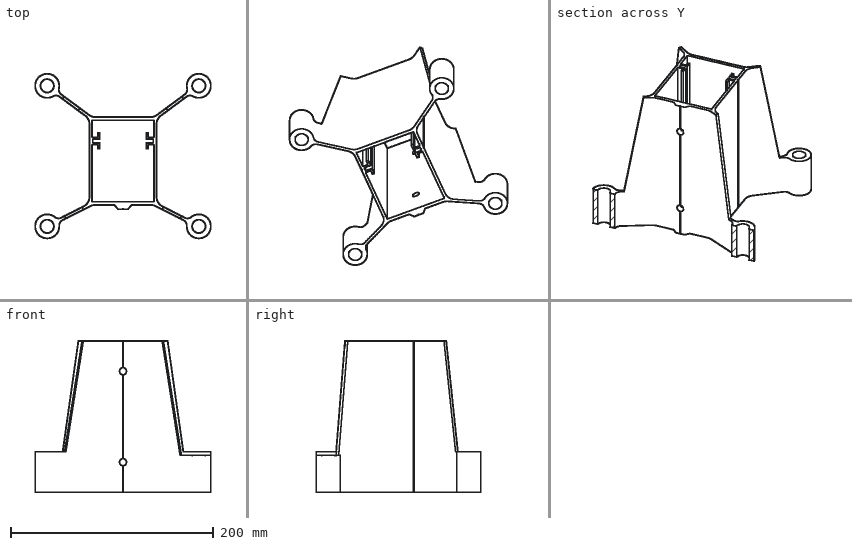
import cadquery as cq
import math


overall_x = 174.0
overall_y = 163.0
height = 150.0

boss_radius = 12.0
boss_bore = 13.0
boss_x = overall_x / 2 - boss_radius
boss_y = overall_y / 2 - boss_radius
boss_height = 40.4
low_boss_drop = 3.7

inner_x = 61.0
inner_y = 80.2
side_wall = 2.8
end_wall = 3.5
tube_x = inner_x + 2 * side_wall
tube_y = inner_y + 2 * end_wall
tube_center_y = -4.9
front_y = tube_center_y - tube_y / 2
rear_y = tube_center_y + tube_y / 2

rib_thickness = 3.0
root_fillet = 10.3
boss_fillet = 5.7
taper_start = 20.0
taper_angle = 10

rail_y = 15.0
slot_width = 3.7
rail_leg = 2.0
rail_depth = 7.7
flange_thickness = 2.1
flange_reach = 6.1
slot_floor = 0.7

strip_depth = 4.2
strip_base = 17.2
strip_face = 9.7
strip_fillet = 0.7
screw_hole = 7.0
screw_heights = (30.0, 119.9)

groove_width = 0.9
groove_depth = 0.5

corners = [(sx, sy) for sx in (-1, 1) for sy in (-1, 1)]


def boss_point(sx, sy):
    return sx * boss_x, sy * boss_y


def tube_corner(sx, sy):
    return sx * tube_x / 2, front_y if sy < 0 else rear_y


def rib_direction(sx, sy):
    """Unit vector from the boss axis to the tube corner, and the distance between them."""
    bx, by = boss_point(sx, sy)
    cx, cy = tube_corner(sx, sy)
    length = math.hypot(cx - bx, cy - by)
    return (cx - bx) / length, (cy - by) / length, length


def block(x0, x1, y0, y1):
    """Full-height block between two X and two Y positions."""
    return cq.Workplane("XY").box(x1 - x0, y1 - y0, height, centered=False).translate((x0, y0, 0))


def rib(sx, sy):
    bx, by = boss_point(sx, sy)
    ux, uy, length = rib_direction(sx, sy)
    length += rib_thickness
    plane = cq.Plane(origin=(bx, by, 0), xDir=(ux, uy, 0), normal=(0, 0, 1))
    return (
        cq.Workplane(plane)
        .center(length / 2, 0)
        .rect(length, rib_thickness)
        .extrude(height)
    )


def vertical_edges_near(body, x, y, reach):
    """Upright edges of the body within a plan distance of a point."""
    return body.edges("|Z").filter(
        lambda edge: math.hypot(edge.Center().x - x, edge.Center().y - y) < reach
    )


def leg_trim(sx, sy):
    """Removes everything above the boss top and outside the sloped rib edge."""
    bx, by = boss_point(sx, sy)
    ux, uy, _ = rib_direction(sx, sy)
    bottom = boss_height
    if (sx, sy) == (1, -1):
        bottom -= low_boss_drop
    taper_end = taper_start + (height - bottom) * math.tan(math.radians(taper_angle))
    half_width = boss_radius + boss_fillet
    outside = -2 * boss_radius
    plane = cq.Plane(origin=(bx, by, 0), xDir=(ux, uy, 0), normal=(uy, -ux, 0))
    outline = [(outside, bottom), (taper_start, bottom), (taper_end, height), (outside, height)]
    return cq.Workplane(plane).polyline(outline).close().extrude(half_width, both=True)


def rail(side):
    """Two L-shaped legs facing away from each other, with a slot between them."""
    wall = -inner_x / 2
    half_slot = slot_width / 2
    tip = wall + rail_depth
    body = block(wall - side_wall / 2, wall + slot_floor, rail_y - half_slot, rail_y + half_slot)
    leg = block(wall - side_wall / 2, tip, rail_y + half_slot, rail_y + half_slot + rail_leg)
    flange = block(tip - flange_thickness, tip, rail_y + half_slot, rail_y + half_slot + flange_reach)
    half = leg.union(flange)
    body = body.union(half).union(half.mirror("XZ", (0, rail_y, 0)))
    return body if side < 0 else body.mirror("YZ")


def front_strip():
    face_y = front_y - strip_depth
    outline = [
        (-strip_base / 2, front_y),
        (-strip_face / 2, face_y),
        (strip_face / 2, face_y),
        (strip_base / 2, front_y),
        (strip_base / 2, front_y + end_wall / 2),
        (-strip_base / 2, front_y + end_wall / 2),
    ]
    return cq.Workplane("XY").polyline(outline).close().extrude(height)


def groove(x, y, inward_x, inward_y):
    """Full-height V groove in the surface through (x, y), cut along the inward direction."""
    plane = cq.Plane(origin=(x, y, 0), xDir=(inward_x, inward_y, 0), normal=(0, 0, 1))
    half = groove_width / 2
    return cq.Workplane(plane).polyline([(0, half), (groove_depth, 0), (0, -half)]).close().extrude(height)


body = block(-tube_x / 2, tube_x / 2, front_y, rear_y)
for sx, sy in corners:
    body = body.union(rib(sx, sy))
    body = body.union(cq.Workplane("XY").center(*boss_point(sx, sy)).circle(boss_radius).extrude(height))

for sx, sy in corners:
    bx, by = boss_point(sx, sy)
    ux, uy, _ = rib_direction(sx, sy)
    root_edges = vertical_edges_near(body, *tube_corner(sx, sy), 2 * rib_thickness)
    body = root_edges.fillet(root_fillet)
    boss_edges = vertical_edges_near(body, bx + ux * boss_radius, by + uy * boss_radius, rib_thickness)
    body = boss_edges.fillet(boss_fillet)

body = body.union(front_strip())
for side in (-1, 1):
    for x, y in ((strip_base / 2, front_y), (strip_face / 2, front_y - strip_depth)):
        body = vertical_edges_near(body, side * x, y, strip_fillet).fillet(strip_fillet)

for sx, sy in corners:
    body = body.cut(leg_trim(sx, sy))
    body = body.cut(cq.Workplane("XY").center(*boss_point(sx, sy)).circle(boss_bore / 2).extrude(height))

body = body.cut(
    block(-inner_x / 2, inner_x / 2, tube_center_y - inner_y / 2, tube_center_y + inner_y / 2)
)
for side in (-1, 1):
    body = body.union(rail(side))

body = body.cut(groove(0, front_y - strip_depth, 0, 1))
for side in (-1, 1):
    body = body.cut(groove(side * tube_x / 2, rail_y, -side, 0))

screw_length = strip_depth + end_wall
for z in screw_heights:
    hole = (
        cq.Workplane("XZ", origin=(0, front_y + end_wall, z))
        .circle(screw_hole / 2)
        .extrude(screw_length)
    )
    body = body.cut(hole)

result = body